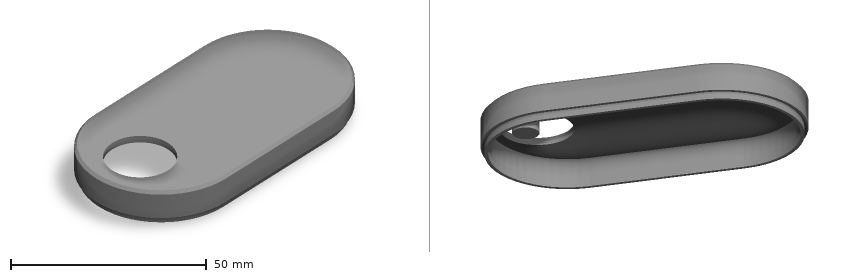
import cadquery as cq

width = 44.5
length = 85.61
height = 10.0
top_chamfer = 0.8

lip_height = 2.0
lip_inset = 1.0

wall_thickness = 2.0
top_thickness = 2.0
cavity_depth = height - top_thickness

opening_diameter = 19.0
opening_y = -28.6

post_diameter = 7.0
post_x = 14.55
post_y = -27.35
post_bottom_z = 0.0


def stadium(inset, bottom_z, depth):
    """Solid with the cover's round-ended outline, moved inward by inset."""
    return (
        cq.Workplane("XY")
        .workplane(offset=bottom_z)
        .slot2D(length - 2 * inset, width - 2 * inset, angle=90)
        .extrude(depth)
    )


def cylinder(x, y, diameter, bottom_z, top_z):
    """Vertical cylinder between two heights."""
    return (
        cq.Workplane("XY")
        .workplane(offset=bottom_z)
        .center(x, y)
        .circle(diameter / 2)
        .extrude(top_z - bottom_z)
    )


def make_shell():
    """Chamfered cover with a stepped lip, hollowed from below."""
    body = stadium(0, lip_height, height - lip_height)
    body = body.faces(">Z").edges().chamfer(top_chamfer)
    lip = stadium(lip_inset, 0, lip_height)
    cavity = stadium(wall_thickness, 0, cavity_depth)
    return body.union(lip).cut(cavity)


opening = cylinder(0, opening_y, opening_diameter, 0, height)

post_top_z = height - top_thickness / 2
post = cylinder(post_x, post_y, post_diameter, post_bottom_z, post_top_z)

result = make_shell().cut(opening).union(post)